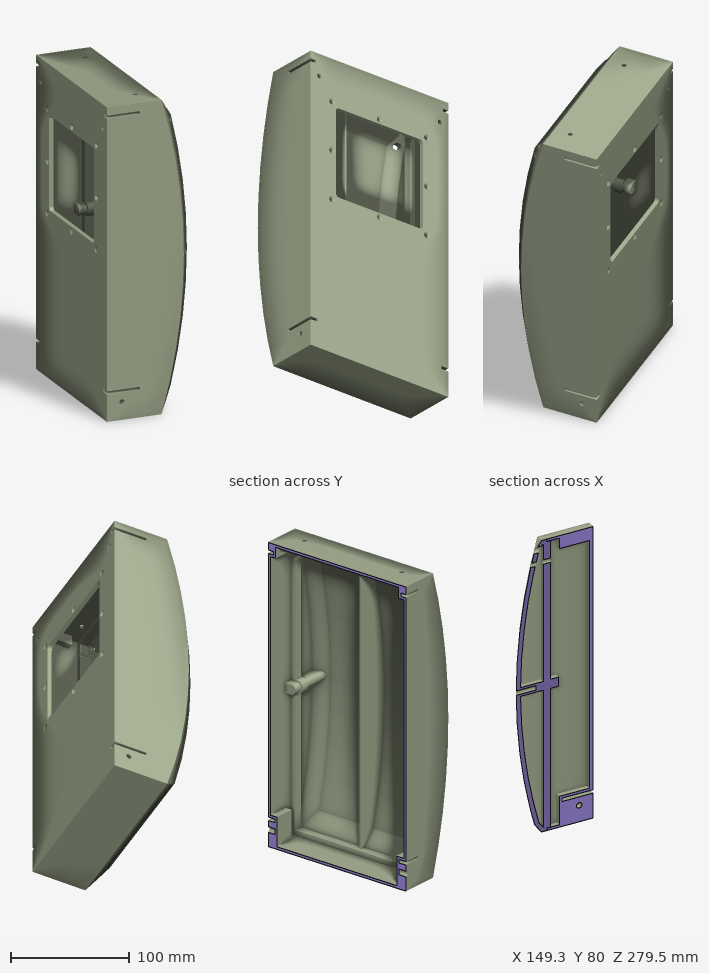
import cadquery as cq
import math

width = 149.3
depth = 80.0
height = 279.5
half_width = width / 2
mid_z = height / 2
sides = (-1, 1)

base_depth = 45.0
base_wall = 2.8
plate_thickness = 4.0
top_hole_diameter = 4.2
top_hole_x = 52.5
top_hole_y = 35.2

window_width = 94.5
window_height = 84.7
window_z = 192.5
window_corner_radius = 3.4
plate_screw_x = 51.5
plate_screw_pitch_z = 46.5
plate_screw_diameter = 3.4
plate_screw_head_diameter = 6.0

slot_height = 2.8
slot_depth = 30.2
lower_slot_z = 24.3
lower_slot_length = 7.3
upper_slot_z = 269.5
upper_slot_length = 5.5
block_margin = 2.8
side_hole_diameter = 4.8
side_hole_y = 13.7
side_hole_z = 16.0
side_hole_depth = 7.3

cover_wall = 4.0
cover_edge_y = 50.0
end_chamfer_y = 65.1
end_chamfer_height = 19.5
side_chamfer_width = 15.5
side_chamfer_depth = 9.5
divider_thickness = 1.5

tongue_start_y = 41.0
tongue_end_y = 48.7
tongue_thickness = 5.0

screw_x = 65.5
cover_hole_diameter = 6.0
plate_corner_hole_diameter = 4.2
corner_hole_z = 258.4
edge_hole_x = 66.3
edge_hole_z = 271.2
boss_hole_floor_y = 56.0
shank_diameter = 9.0
collar_diameter = 12.3
tip_diameter = 9.2
tip_start_y = 33.5

dome_rise = depth - end_chamfer_y
dome_half_chord = mid_z - end_chamfer_height
dome_radius = (dome_half_chord**2 + dome_rise**2) / (2 * dome_rise)
dome_axis_y = depth - dome_radius
end_slope = math.atan2(end_chamfer_y - cover_edge_y, end_chamfer_height)
side_slope = math.atan2(side_chamfer_depth, side_chamfer_width)


def box_between(x_range, y_range, z_range):
    """Box between two values on each axis."""
    x_low, x_high = sorted(x_range)
    y_low, y_high = y_range
    z_low, z_high = z_range
    corner = cq.Vector(x_low, y_low, z_low)
    return cq.Workplane(cq.Solid.makeBox(x_high - x_low, y_high - y_low, z_high - z_low, corner))


def inset_block(inset, y_range):
    """Box over the whole outline, set in from the four side faces."""
    return box_between((inset - half_width, half_width - inset), y_range, (inset, height - inset))


def rod(start, direction, length, diameter):
    """Cylinder from a start point along a direction."""
    return cq.Workplane(cq.Solid.makeCylinder(diameter / 2, length, cq.Vector(*start), cq.Vector(*direction)))


def rod_along_y(x, z, y_start, y_end, diameter):
    return rod((x, y_start, z), (0, 1, 0), y_end - y_start, diameter)



def cut_window(body):
    opening = (
        cq.Workplane("XZ", origin=(0, 0, window_z))
        .rect(window_width, window_height)
        .extrude(-plate_thickness)
        .edges("|Y")
        .fillet(window_corner_radius)
    )
    return body.cut(opening)


def cut_plate_holes(body):
    countersink_depth = (plate_screw_head_diameter - plate_screw_diameter) / 2
    for column in (-1, 0, 1):
        for row in (-1, 0, 1):
            if column == 0 and row == 0:
                continue
            x = column * plate_screw_x
            z = window_z + row * plate_screw_pitch_z
            countersink = cq.Solid.makeCone(
                plate_screw_head_diameter / 2, plate_screw_diameter / 2, countersink_depth,
                cq.Vector(x, 0, z), cq.Vector(0, 1, 0))
            body = body.cut(rod_along_y(x, z, 0, plate_thickness, plate_screw_diameter))
            body = body.cut(cq.Workplane(countersink))
    for side in sides:
        body = body.cut(
            rod_along_y(side * screw_x, corner_hole_z, 0, plate_thickness, plate_corner_hole_diameter))
    return body


def add_slotted_corner(body, side, block_z_range, slot_z, slot_length):
    """Solid block in one corner of the base, with a slot cut into it from the front and the side."""
    outer_x = side * half_width
    block_x = outer_x - side * (slot_length + block_margin)
    slot_x = outer_x - side * slot_length
    block = box_between((outer_x, block_x), (0, slot_depth + block_margin), block_z_range)
    slot = box_between((outer_x, slot_x), (0, slot_depth), (slot_z, slot_z + slot_height))
    return body.union(block).cut(slot)


def make_base():
    body = inset_block(0, (0, base_depth)).cut(inset_block(base_wall, (plate_thickness, base_depth)))
    lower_block_z = (0, lower_slot_z + slot_height + block_margin)
    upper_block_z = (upper_slot_z - block_margin, height)
    for side in sides:
        body = add_slotted_corner(body, side, lower_block_z, lower_slot_z, lower_slot_length)
        body = add_slotted_corner(body, side, upper_block_z, upper_slot_z, upper_slot_length)
        side_hole_start = (side * half_width, side_hole_y, side_hole_z)
        body = body.cut(rod(side_hole_start, (-side, 0, 0), side_hole_depth, side_hole_diameter))
        top_hole_start = (side * top_hole_x, top_hole_y, height)
        body = body.cut(rod(top_hole_start, (0, 0, -1), base_wall, top_hole_diameter))
    return cut_plate_holes(cut_window(body))



def make_dome(inset):
    """Chamfered dome behind the base, with every outer face moved inwards by the inset."""
    radius = dome_radius - inset
    side_x = half_width - inset
    low_z = inset
    high_z = height - inset

    arch_edge_y = dome_axis_y + math.sqrt(radius**2 - (mid_z - inset) ** 2)
    arched = (
        cq.Workplane("YZ", origin=(-half_width, 0, 0))
        .moveTo(base_depth, low_z)
        .lineTo(arch_edge_y, low_z)
        .threePointArc((depth - inset, mid_z), (arch_edge_y, high_z))
        .lineTo(base_depth, high_z)
        .close()
        .extrude(width)
    )

    gable_edge_y = cover_edge_y + inset * math.tan(end_slope) - inset / math.cos(end_slope)
    gable_peak_y = gable_edge_y + (mid_z - inset) * math.tan(end_slope)
    gabled = (
        cq.Workplane("YZ", origin=(-half_width, 0, 0))
        .polyline([
            (base_depth, low_z),
            (gable_edge_y, low_z),
            (gable_peak_y, mid_z),
            (gable_edge_y, high_z),
            (base_depth, high_z),
        ])
        .close()
        .extrude(width)
    )

    side_radius = (dome_radius - side_chamfer_depth
                   + inset * math.tan(side_slope) - inset / math.cos(side_slope))
    ridge_x = side_x - (radius - side_radius) / math.tan(side_slope)
    turned = (
        cq.Workplane("XY", origin=(0, dome_axis_y, mid_z))
        .polyline([
            (-side_x, 0),
            (-side_x, side_radius),
            (-ridge_x, radius),
            (ridge_x, radius),
            (side_x, side_radius),
            (side_x, 0),
        ])
        .close()
        .revolve(360, (0, 0, 0), (1, 0, 0))
    )
    return turned.intersect(arched).intersect(gabled)


def make_tongue():
    """Rim inside the base walls that runs on into the cover."""
    y_range = (tongue_start_y, tongue_end_y)
    return inset_block(base_wall, y_range).cut(inset_block(base_wall + tongue_thickness, y_range))


def make_divider(cavity):
    """Upright rib on the middle of the cover, ending level with its front edge."""
    half_thickness = divider_thickness / 2
    rib = box_between((-half_thickness, half_thickness), (base_depth, depth), (0, height))
    return rib.intersect(cavity)


def webbed_rod(side, y_start, y_end, diameter):
    """Rod along Y at mid height, filled out sideways to the inner face of the base wall."""
    radius = diameter / 2
    x = side * screw_x
    wall_x = side * (half_width - base_wall)
    web = box_between((x, wall_x), (y_start, y_end), (mid_z - radius, mid_z + radius))
    return rod_along_y(x, mid_z, y_start, y_end, diameter).union(web)


def make_boss(side, dome):
    shank = webbed_rod(side, tongue_end_y, depth, shank_diameter).intersect(dome)
    collar = rod_along_y(side * screw_x, mid_z, tongue_start_y, tongue_end_y, collar_diameter)
    tip = webbed_rod(side, tip_start_y, tongue_start_y, tip_diameter)
    return shank.union(collar).union(tip)


def make_cover():
    dome = make_dome(0)
    cavity = make_dome(cover_wall)
    body = dome.cut(cavity).union(make_tongue()).union(make_divider(cavity))
    for side in sides:
        x = side * screw_x
        body = body.union(make_boss(side, dome))
        body = body.cut(rod_along_y(x, mid_z, boss_hole_floor_y, depth, cover_hole_diameter))
        body = body.cut(rod_along_y(x, corner_hole_z, tongue_start_y, depth, cover_hole_diameter))
        edge_x = side * edge_hole_x
        body = body.cut(rod_along_y(edge_x, edge_hole_z, tongue_end_y, depth, cover_hole_diameter))
    return body


base = make_base()
cover = make_cover()
result = cq.Compound.makeCompound([base.val(), cover.val()])